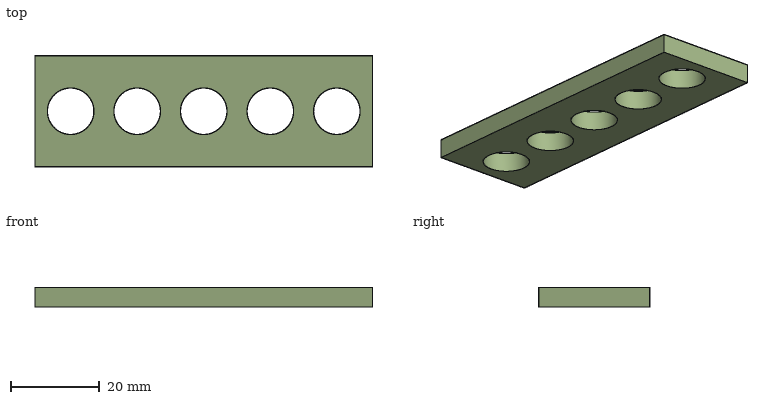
import cadquery as cq

length = 76.0
width = 25.0
thickness = 4.4

hole_count = 5
hole_diameter = 10.4
hole_pitch = 15.0

plate = cq.Workplane("XY").box(length, width, thickness)

result = (
    plate.faces(">Z")
    .workplane()
    .rarray(hole_pitch, width, hole_count, 1)
    .hole(hole_diameter)
)